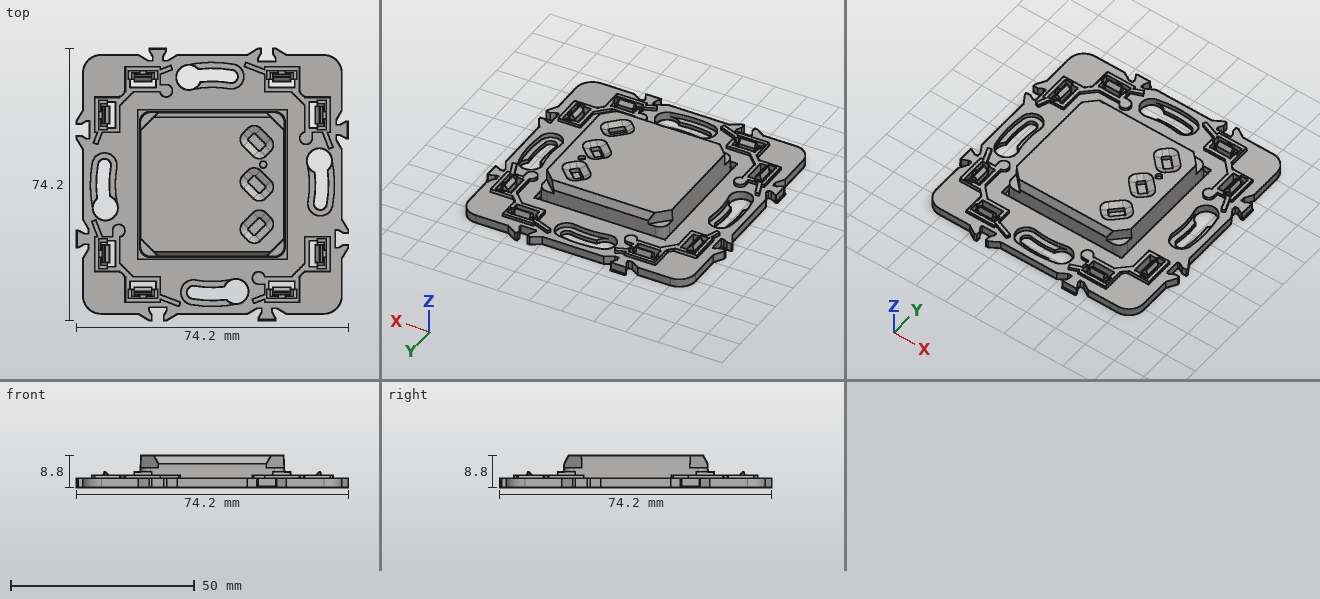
import cadquery as cq
import math

PLATE_TOP = 2.55
RING_TOP = 3.4
CLAW_TOP = 4.27
LEDGE_Z = 5.4
BEVEL_Z = 6.5
COVER_TOP = 8.8
RING_HEIGHT = RING_TOP - PLATE_TOP

OVERALL_HALF = 74.15 / 2
PLATE_HALF = 35.3
PLATE_CORNER_RADIUS = 5.0
OPENING_HALF = 20.35

DOVETAIL_OFFSET = 14.85
RAMP_HALF = 5.3
TAB_ROOT_Y = 33.75
TAB_ROOT_HALF = 2.7
TAB_NECK_HALF = 1.45
TAB_NECK_END_Y = 34.8
TAB_HEAD_HALF = 2.35
TAB_HEAD_Y = 36.5
TAB_LIP = 0.3
SOCKET_FLOOR_Y = 33.5
SOCKET_FLOOR_HALF = 2.4
SOCKET_SIDE_TOP_Y = 34.3
SOCKET_MOUTH_HALF = 1.6
SOCKET_MOUTH_Y = 35.7

SLOT_PATH_RADIUS = 29.85
SLOT_HALF_WIDTH = 1.75
SLOT_RECESS_HALF_WIDTH = 3.4
SLOT_RECESS_DEPTH = 1.4
KEYHOLE_RADIUS = SLOT_RECESS_HALF_WIDTH
KEYHOLE_ANGLE = 12.4
SLOT_END_ANGLE = 10.0

FRAME_LEFT = -23.85
FRAME_LEAN = 0.25
FRAME_RIGHT = -14.2
FRAME_INNER_Y = 25.2
FRAME_OUTER_Y = 32.1
FRAME_LINK_Y = 21.5
LINK_OUTER = 23.95
LINK_OUTER_END = 24.9

CLAW_X = -18.9
WINDOW_HALF = 3.5
WINDOW_INNER_Y = 26.4
WINDOW_OUTER_Y = 28.6
TRENCH_HALF = 4.05
TRENCH_OUTER_Y = 31.0
TRENCH_FLOOR_Z = 1.2
PEDESTAL_HALF = 3.1
PEDESTAL_OUTER_Y = 30.45
BRIDGE_HALF = 0.95
CLAW_HALF = 2.4
CLAW_NOSE_Y = 28.0
CLAW_NOSE_Z = 3.1
CLAW_PEAK_Y = 29.15
CLAW_PEAK_WIDTH = 0.25
CLAW_BACK_Y = 30.0

KNOB_X = -12.6
KNOB_Y = 25.5
KNOB_RADIUS = 1.7
ARM_START_Y = 30.65
ARM_WIDTH = 1.2
ARM_ANGLE = 21.0
SHORT_ARM = 3.1
MIDDLE_ARM = 4.3
LONG_ARM = 5.3
ARMS = [
    (0, False, SHORT_ARM),
    (1, False, MIDDLE_ARM),
    (2, False, SHORT_ARM),
    (3, False, MIDDLE_ARM),
    (0, True, LONG_ARM),
    (2, True, LONG_ARM),
    (3, True, SHORT_ARM),
]

FOOT_HEIGHT = 0.6
COVER_BASE_HALF = 19.88
COVER_TOP_HALF = 19.45
COVER_CORNER_RADIUS = 3.0
CORNER_CUT_SUM = 34.3
BEVEL_TOP_HALF = 18.3
POCKET_X = 12.1
POCKET_PITCH = 11.5
POCKET_ANGLES = [45, -45, -45]
POCKET_LENGTH = 8.8
POCKET_WIDTH = 6.8
POCKET_CORNER_RADIUS = 2.45
POCKET_DEPTH = 0.87
POCKET_SLOPE_RUN = 2.1
WELL_DEPTH = 1.3
LAMP_HOLE_X = 13.85
LAMP_HOLE_Y = 5.4
LAMP_HOLE_DIAMETER = 1.9
LAMP_HOLE_DEPTH = 1.0


def block(x0, x1, y0, y1, z0, z1):
    """Box between the given limits."""
    return cq.Workplane("XY").box(x1 - x0, y1 - y0, z1 - z0, centered=False).translate((x0, y0, z0))


def prism(points, z0, z1):
    """Upright prism on a polygon."""
    return cq.Workplane("XY").workplane(offset=z0).polyline(points).close().extrude(z1 - z0)


def mirror_pair(half_points, centre):
    """Closed outline from the right half of a shape symmetric about x = centre."""
    right = [(centre + dx, y) for dx, y in half_points]
    left = [(centre - dx, y) for dx, y in reversed(half_points)]
    return right + left


def turned(shape, quarter_turns):
    return shape.rotate((0, 0, 0), (0, 0, 1), -90 * quarter_turns)


def placed(shape, quarter_turns, mirrored):
    """Shape of the left +Y frame moved to another frame."""
    if mirrored:
        shape = shape.mirror("YZ")
    return turned(shape, quarter_turns)


def polar(radius, angle):
    """Point at an angle measured clockwise from +Y."""
    turn = math.radians(angle)
    return (radius * math.sin(turn), radius * math.cos(turn))


def arc_slot(start_angle, end_angle, half_width, z0, z1):
    """Round-ended slot curved about the plate centre."""
    inner = SLOT_PATH_RADIUS - half_width
    outer = SLOT_PATH_RADIUS + half_width
    middle_angle = (start_angle + end_angle) / 2
    band = (
        cq.Workplane("XY").workplane(offset=z0)
        .moveTo(*polar(inner, start_angle))
        .threePointArc(polar(inner, middle_angle), polar(inner, end_angle))
        .lineTo(*polar(outer, end_angle))
        .threePointArc(polar(outer, middle_angle), polar(outer, start_angle))
        .close().extrude(z1 - z0)
    )
    ends = [polar(SLOT_PATH_RADIUS, angle) for angle in (start_angle, end_angle)]
    caps = cq.Workplane("XY").workplane(offset=z0).pushPoints(ends).circle(half_width).extrude(z1 - z0)
    return band.union(caps)


def keyhole():
    """Through keyhole of the +Y side with its stepped recess."""
    slot = arc_slot(-KEYHOLE_ANGLE, SLOT_END_ANGLE, SLOT_HALF_WIDTH, 0, PLATE_TOP)
    recess = arc_slot(
        -KEYHOLE_ANGLE, SLOT_END_ANGLE, SLOT_RECESS_HALF_WIDTH, PLATE_TOP - SLOT_RECESS_DEPTH, PLATE_TOP
    )
    hole = (
        cq.Workplane("XY").center(*polar(SLOT_PATH_RADIUS, -KEYHOLE_ANGLE))
        .circle(KEYHOLE_RADIUS).extrude(PLATE_TOP)
    )
    return slot.union(recess).union(hole)


def tab_clearance():
    """Notch in the plate edge around the dovetail tab."""
    outline = [(TAB_ROOT_HALF, TAB_ROOT_Y), (RAMP_HALF, PLATE_HALF)]
    return prism(mirror_pair(outline, -DOVETAIL_OFFSET), 0, PLATE_TOP)


def tab():
    """Dovetail tab with a small lip under its end."""
    end_y = OVERALL_HALF - TAB_LIP
    outline = [
        (TAB_NECK_HALF, TAB_ROOT_Y),
        (TAB_NECK_HALF, TAB_NECK_END_Y),
        (TAB_HEAD_HALF, TAB_HEAD_Y),
        (TAB_HEAD_HALF, end_y),
    ]
    body = prism(mirror_pair(outline, -DOVETAIL_OFFSET), 0, PLATE_TOP)
    lip = block(
        -DOVETAIL_OFFSET - TAB_HEAD_HALF, -DOVETAIL_OFFSET + TAB_HEAD_HALF, end_y, OVERALL_HALF, 0, TAB_LIP
    )
    return body.union(lip)


def socket_horns():
    """Raised ramps either side of the dovetail socket."""
    outline = [(RAMP_HALF, PLATE_HALF), (SOCKET_FLOOR_HALF, OVERALL_HALF)]
    return prism(mirror_pair(outline, DOVETAIL_OFFSET), 0, PLATE_TOP)


def socket():
    """Dovetail opening cut between the horns."""
    outline = [
        (SOCKET_FLOOR_HALF, SOCKET_FLOOR_Y),
        (SOCKET_FLOOR_HALF, SOCKET_SIDE_TOP_Y),
        (SOCKET_MOUTH_HALF, SOCKET_MOUTH_Y),
        (SOCKET_MOUTH_HALF, OVERALL_HALF),
    ]
    return prism(mirror_pair(outline, DOVETAIL_OFFSET), 0, PLATE_TOP)


def claw_frame():
    """Raised rectangle round a claw, leaning inward at its outer end."""
    section = [
        (FRAME_LEFT, PLATE_TOP),
        (FRAME_RIGHT, PLATE_TOP),
        (FRAME_RIGHT, RING_TOP),
        (FRAME_LEFT + FRAME_LEAN, RING_TOP),
    ]
    frame = cq.Workplane("XZ").polyline(section).close().extrude(FRAME_INNER_Y - FRAME_OUTER_Y)
    return frame.translate((0, FRAME_INNER_Y, 0))


def corner_link():
    """Diagonal strip joining the two frames of the (-X, +Y) corner."""
    inner_end = (-FRAME_LINK_Y, FRAME_INNER_Y)
    outer_end = (-LINK_OUTER, LINK_OUTER_END)
    one_side = [inner_end, (-LINK_OUTER, FRAME_INNER_Y), outer_end]
    other_side = [(-y, -x) for x, y in reversed(one_side)]
    return prism(one_side + other_side, PLATE_TOP, RING_TOP)


def knob():
    """Round pad joined to the end of a frame."""
    pad = (
        cq.Workplane("XY").workplane(offset=PLATE_TOP)
        .center(KNOB_X, KNOB_Y).circle(KNOB_RADIUS).extrude(RING_HEIGHT)
    )
    return pad.union(block(FRAME_RIGHT, KNOB_X, FRAME_INNER_Y, KNOB_Y + KNOB_RADIUS, PLATE_TOP, RING_TOP))


def arm(reach):
    """Slanted finger leaving the end of a frame."""
    slope = math.radians(ARM_ANGLE)
    overlap = ARM_WIDTH / 2
    length = reach / math.cos(slope) + overlap
    finger = block(-overlap, length - overlap, -ARM_WIDTH / 2, ARM_WIDTH / 2, PLATE_TOP, RING_TOP)
    return finger.rotate((0, 0, 0), (0, 0, 1), ARM_ANGLE).translate((FRAME_RIGHT, ARM_START_Y, 0))


def centred_block(half, y0, y1, z0, z1):
    """Box centred across a claw."""
    return block(CLAW_X - half, CLAW_X + half, y0, y1, z0, z1)


def claw_cut():
    """Through window and the trench behind it."""
    window = centred_block(WINDOW_HALF, WINDOW_INNER_Y, WINDOW_OUTER_Y, 0, RING_TOP)
    trench = centred_block(TRENCH_HALF, WINDOW_OUTER_Y, TRENCH_OUTER_Y, TRENCH_FLOOR_Z, RING_TOP)
    return window.union(trench)


def claw():
    """Pointed claw on a pedestal standing in the trench."""
    pedestal = centred_block(PEDESTAL_HALF, WINDOW_OUTER_Y, PEDESTAL_OUTER_Y, TRENCH_FLOOR_Z, PLATE_TOP)
    bridge = centred_block(BRIDGE_HALF, PEDESTAL_OUTER_Y, TRENCH_OUTER_Y, TRENCH_FLOOR_Z, PLATE_TOP)
    profile = [
        (CLAW_NOSE_Y, TRENCH_FLOOR_Z),
        (CLAW_NOSE_Y, CLAW_NOSE_Z),
        (CLAW_PEAK_Y, CLAW_TOP),
        (CLAW_PEAK_Y + CLAW_PEAK_WIDTH, CLAW_TOP),
        (CLAW_BACK_Y, PLATE_TOP),
        (CLAW_BACK_Y, TRENCH_FLOOR_Z),
    ]
    hook = cq.Workplane("YZ").polyline(profile).close().extrude(CLAW_HALF, both=True)
    return pedestal.union(bridge).union(hook.translate((CLAW_X, 0, 0)))


def make_frame():
    """Support plate with dovetails, keyholes, raised frames and claws."""
    plate = (
        cq.Workplane("XY").rect(2 * PLATE_HALF, 2 * PLATE_HALF).extrude(PLATE_TOP)
        .edges("|Z").fillet(PLATE_CORNER_RADIUS)
    )
    for side in range(4):
        plate = plate.cut(turned(tab_clearance(), side)).union(turned(tab(), side))
        plate = plate.union(turned(socket_horns(), side)).cut(turned(socket(), side))
        plate = plate.cut(turned(keyhole(), side))
        plate = plate.union(turned(corner_link(), side)).union(turned(knob(), side))
        for mirrored in (False, True):
            plate = plate.union(placed(claw_frame(), side, mirrored))
    for side, mirrored, reach in ARMS:
        plate = plate.union(placed(arm(reach), side, mirrored))
    for side in range(4):
        for mirrored in (False, True):
            plate = plate.cut(placed(claw_cut(), side, mirrored))
            plate = plate.union(placed(claw(), side, mirrored))
    opening = block(-OPENING_HALF, OPENING_HALF, -OPENING_HALF, OPENING_HALF, 0, PLATE_TOP)
    return plate.cut(opening)


def corner_cuts():
    """Upper part of the mechanism kept inside the vertical corner cuts."""
    reach = 2 * CORNER_CUT_SUM
    blank = cq.Workplane("XY").workplane(offset=LEDGE_Z).rect(reach, reach).extrude(COVER_TOP - LEDGE_Z)
    diamond = [(CORNER_CUT_SUM, 0), (0, CORNER_CUT_SUM), (-CORNER_CUT_SUM, 0), (0, -CORNER_CUT_SUM)]
    return blank.cut(prism(diamond, LEDGE_Z, COVER_TOP))


def side_bevel():
    """Wedge removed along the top of the +Y side."""
    draft_run = COVER_BASE_HALF - COVER_TOP_HALF
    start_y = COVER_BASE_HALF - draft_run * BEVEL_Z / COVER_TOP
    wedge = [(start_y, BEVEL_Z), (BEVEL_TOP_HALF, COVER_TOP), (start_y, COVER_TOP)]
    return cq.Workplane("YZ").polyline(wedge).close().extrude(COVER_BASE_HALF, both=True)


def pocket():
    """Dished pocket with a rectangular well in its floor, sunk from the cover top."""
    slope = math.degrees(math.atan2(POCKET_SLOPE_RUN, POCKET_DEPTH))
    outline = cq.Sketch().rect(POCKET_LENGTH, POCKET_WIDTH).vertices().fillet(POCKET_CORNER_RADIUS)
    dish = cq.Workplane("XY").placeSketch(outline).extrude(-POCKET_DEPTH, taper=slope)
    well_length = POCKET_LENGTH - 2 * POCKET_SLOPE_RUN
    well_width = POCKET_WIDTH - 2 * POCKET_SLOPE_RUN
    well_outline = cq.Sketch().rect(well_length, well_width)
    well_outline = well_outline.vertices().fillet(POCKET_CORNER_RADIUS - POCKET_SLOPE_RUN)
    well = cq.Workplane("XY").placeSketch(well_outline).extrude(-POCKET_DEPTH - WELL_DEPTH)
    return dish.union(well).translate((0, 0, COVER_TOP))


def make_mechanism():
    """Tapered mechanism cover standing on a foot that fills the plate opening."""
    foot = block(-OPENING_HALF, OPENING_HALF, -OPENING_HALF, OPENING_HALF, 0, FOOT_HEIGHT)
    draft = math.degrees(math.atan2(COVER_BASE_HALF - COVER_TOP_HALF, COVER_TOP))
    outline = cq.Sketch().rect(2 * COVER_BASE_HALF, 2 * COVER_BASE_HALF)
    outline = outline.vertices().fillet(COVER_CORNER_RADIUS)
    cover = cq.Workplane("XY").placeSketch(outline).extrude(COVER_TOP, taper=draft)
    cover = cover.cut(corner_cuts())
    for side in (0, 2):
        cover = cover.cut(turned(side_bevel(), side))
    for row, angle in enumerate(POCKET_ANGLES):
        sunk = pocket().rotate((0, 0, 0), (0, 0, 1), angle)
        cover = cover.cut(sunk.translate((POCKET_X, (row - 1) * POCKET_PITCH, 0)))
    lamp_hole = (
        cq.Workplane("XY").workplane(offset=COVER_TOP).center(LAMP_HOLE_X, LAMP_HOLE_Y)
        .circle(LAMP_HOLE_DIAMETER / 2).extrude(-LAMP_HOLE_DEPTH)
    )
    return foot.union(cover.cut(lamp_hole))


frame = make_frame()
mechanism = make_mechanism()
result = cq.Compound.makeCompound([*frame.vals(), *mechanism.vals()])